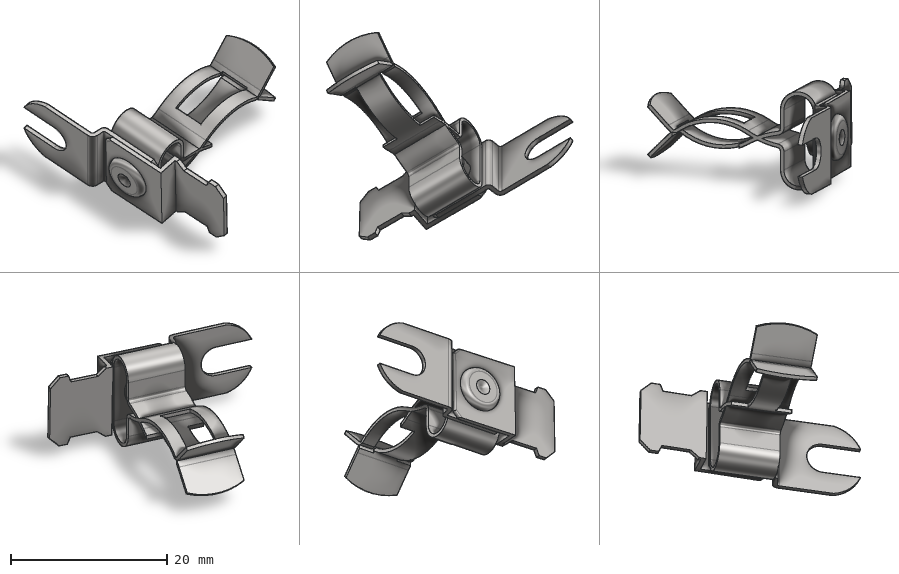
import cadquery as cq
import math


lug_thickness = 0.6
clip_thickness = 0.5
fork_front_y = -lug_thickness
tail_front_y = fork_front_y - lug_thickness
lug_half_height = 5.0

fork_tip_y = -2.52
fork_right_x = 4.0
fork_nose_radius = 5.1
fork_nose_x = -11.9
fork_slot_radius = 2.07
fork_slot_x = -11.5
fork_corner_chamfer = 0.75
jog_start_x = -5.78
jog_angle = 80.0
jog_lower_radius = 0.67
jog_upper_radius = 0.43

tail_tilt = 1.0
tail_left_x = -3.95
tail_corner_chamfer = 0.75
tail_edge_radius = 0.27
tail_web_x = 5.6
tail_back_y = 2.15
tail_shoulder_x = 5.9
tail_neck_start_x = 7.08
tail_neck_end_x = 10.85
tail_neck_half_height = 4.05
tail_head_start_x = 11.25
tail_head_chamfer_x = 12.43
tail_right_x = 13.77
tail_right_half_height = 3.68

clip_width = 8.03
clip_height = 12.8
clip_end_y = 23.6
loop_outer_radius = 2.45
loop_bend_radius = 0.73
neck_angle = 10.0
cross_angle = 30.0
flare_angle = 45.0
bow_radius = 9.0
bow_depth = 1.9
bow_y = 13.92
window_start_y = 10.55
window_end_y = 19.65
window_width = 4.2
tongue_width = 3.65
flare_end_radius = 9.73

shank_radius = 1.52
front_head_radius = 3.0
front_head_height = 0.82
centre_mark_radius = 1.03
centre_mark_depth = 0.5
back_head_radius = 2.52
back_head_height = 1.37
back_dome_height = 0.73


def on_circle(centre, radius, degrees):
    """Point of a circle at an angle measured from its first axis towards its second."""
    angle = math.radians(degrees)
    return (centre[0] + radius * math.cos(angle), centre[1] + radius * math.sin(angle))


def add_arc(path, centre, radius, start, end):
    """Continue a path along a circle, from one angle to another."""
    middle = on_circle(centre, radius, (start + end) / 2)
    return path.threePointArc(middle, on_circle(centre, radius, end))


def drill_shank(body):
    """Cut the rivet hole, which runs from inside the clip to the front of the tail lug."""
    hole_length = clip_thickness - tail_front_y
    hole = cq.Workplane("XZ", origin=(0, clip_thickness, 0)).circle(shank_radius).extrude(hole_length)
    return body.cut(hole)


def fork_strip():
    """Sheet bent into a jog, still with square ends."""
    lower_y = fork_tip_y + lug_thickness / 2
    upper_y = fork_front_y + lug_thickness / 2
    left_x = fork_nose_x - fork_nose_radius
    turn = math.radians(jog_angle)
    bends = jog_lower_radius + jog_upper_radius
    web_length = (upper_y - lower_y - bends * (1 - math.cos(turn))) / math.sin(turn)
    jog_end_x = jog_start_x + bends * math.sin(turn) + web_length * math.cos(turn)
    lower_centre = (jog_start_x, lower_y + jog_lower_radius)
    upper_centre = (jog_end_x, upper_y - jog_upper_radius)

    path = cq.Workplane("XY").moveTo(left_x, lower_y).lineTo(jog_start_x, lower_y)
    path = add_arc(path, lower_centre, jog_lower_radius, -90, jog_angle - 90)
    path = path.lineTo(*on_circle(upper_centre, jog_upper_radius, 90 + jog_angle))
    path = add_arc(path, upper_centre, jog_upper_radius, 90 + jog_angle, 90)
    path = path.lineTo(fork_right_x, upper_y)
    section = cq.Workplane("YZ", origin=(left_x, lower_y, 0)).rect(lug_thickness, 2 * lug_half_height)
    return section.sweep(path)


def fork_outline():
    """Prism with the rounded nose, the open slot and the two chamfered corners."""
    shoulder_x = fork_nose_x - math.sqrt(fork_nose_radius**2 - lug_half_height**2)
    nose_left = (fork_nose_x - fork_nose_radius, 0)
    corner_x = fork_right_x - fork_corner_chamfer
    corner_z = lug_half_height - fork_corner_chamfer
    slot_length = 2 * fork_nose_radius
    blank = (
        cq.Workplane("XZ")
        .moveTo(shoulder_x, lug_half_height)
        .threePointArc(nose_left, (shoulder_x, -lug_half_height))
        .lineTo(corner_x, -lug_half_height)
        .lineTo(fork_right_x, -corner_z)
        .lineTo(fork_right_x, corner_z)
        .lineTo(corner_x, lug_half_height)
        .close()
        .extrude(-fork_tip_y)
    )
    slot_round = cq.Workplane("XZ").center(fork_slot_x, 0).circle(fork_slot_radius).extrude(-fork_tip_y)
    slot_mouth = (
        cq.Workplane("XZ")
        .center(fork_slot_x - slot_length / 2, 0)
        .rect(slot_length, 2 * fork_slot_radius)
        .extrude(-fork_tip_y)
    )
    return blank.cut(slot_round).cut(slot_mouth)


def make_fork_lug():
    return drill_shank(fork_strip().intersect(fork_outline()))


def tail_strip():
    """Sheet folded twice at right angles."""
    web_left_x = tail_web_x - lug_thickness
    profile = [
        (tail_left_x, tail_front_y),
        (tail_web_x, tail_front_y),
        (tail_web_x, tail_back_y - lug_thickness),
        (tail_right_x, tail_back_y - lug_thickness),
        (tail_right_x, tail_back_y),
        (web_left_x, tail_back_y),
        (web_left_x, fork_front_y),
        (tail_left_x, fork_front_y),
    ]
    return cq.Workplane("XY").polyline(profile).close().extrude(lug_half_height, both=True)


def tail_outline():
    """Prism with the chamfered left end, the narrow neck and the arrow-like head."""
    upper_edge = [
        (tail_left_x, lug_half_height - tail_corner_chamfer),
        (tail_left_x + tail_corner_chamfer, lug_half_height),
        (tail_shoulder_x, lug_half_height),
        (tail_neck_start_x, tail_neck_half_height),
        (tail_neck_end_x, tail_neck_half_height),
        (tail_head_start_x, lug_half_height),
        (tail_head_chamfer_x, lug_half_height),
        (tail_right_x, tail_right_half_height),
    ]
    lower_edge = [(x, -z) for x, z in reversed(upper_edge)]
    face = cq.Workplane("XZ", origin=(0, tail_back_y, 0)).polyline(upper_edge + lower_edge).close()
    return face.extrude(tail_back_y - tail_front_y)


def make_tail_lug():
    lug = tail_strip().intersect(tail_outline())
    zone_right_x = tail_left_x + tail_corner_chamfer
    end_zone = cq.selectors.BoxSelector(
        (tail_left_x - lug_thickness, tail_front_y - lug_thickness, -lug_half_height),
        (zone_right_x, tail_back_y, lug_half_height),
    )
    lug = lug.edges("#Y").edges(end_zone).fillet(tail_edge_radius)
    return drill_shank(lug).rotate((0, 0, 0), (0, 1, 0), -tail_tilt)


def clip_arm():
    """Band from the clip back, round the upper loop and across to the lower bow and the upper flare."""
    half_thickness = clip_thickness / 2
    loop_radius = loop_outer_radius - half_thickness
    loop_centre = (loop_outer_radius, clip_height / 2 - loop_outer_radius)
    loop_far_y = loop_centre[0] + loop_radius
    bow_centre = (bow_y, bow_radius - bow_depth)

    bend_y = loop_far_y + loop_bend_radius
    cross_y, cross_z = on_circle(bow_centre, bow_radius, -90 - cross_angle)
    sin_neck = math.sin(math.radians(neck_angle))
    sin_cross = math.sin(math.radians(cross_angle))
    neck_radius = (cross_y - bend_y + loop_bend_radius * sin_neck) / (sin_cross - sin_neck)
    neck_centre = on_circle((cross_y, cross_z), neck_radius, -90 - cross_angle)
    neck_start = on_circle(neck_centre, neck_radius, 90 - neck_angle)
    bend_centre = on_circle(neck_start, loop_bend_radius, 90 - neck_angle)

    flare_y, flare_z = on_circle(bow_centre, bow_radius, flare_angle - 90)
    flare_turn = math.radians(flare_angle)
    path_end_y = clip_end_y - half_thickness * math.sin(flare_turn)
    path_end_z = flare_z + (path_end_y - flare_y) * math.tan(flare_turn)

    path = cq.Workplane("YZ").moveTo(half_thickness, 0).lineTo(half_thickness, loop_centre[1])
    path = add_arc(path, loop_centre, loop_radius, 180, 0)
    path = path.lineTo(loop_far_y, bend_centre[1])
    path = add_arc(path, bend_centre, loop_bend_radius, 180, 270 - neck_angle)
    path = add_arc(path, neck_centre, neck_radius, 90 - neck_angle, 90 - cross_angle)
    path = add_arc(path, bow_centre, bow_radius, -90 - cross_angle, flare_angle - 90)
    path = path.lineTo(path_end_y, path_end_z)
    section = cq.Workplane("XY", origin=(0, half_thickness, 0)).rect(clip_width, clip_thickness)
    arm = section.sweep(path)
    return arm.intersect(flare_end_trim(path_end_y, path_end_z))


def flare_end_trim(end_y, end_z):
    """Block with a round end that shapes the tip of the upper flare, square to the flare sheet."""
    flare_turn = math.radians(flare_angle)
    flare_normal = (0, -math.sin(flare_turn), math.cos(flare_turn))
    flare_plane = cq.Plane(origin=(0, end_y, end_z), xDir=(1, 0, 0), normal=flare_normal)
    reach = 2 * clip_end_y
    half_width = clip_width / 2
    side_drop = flare_end_radius - math.sqrt(flare_end_radius**2 - half_width**2)
    return (
        cq.Workplane(flare_plane)
        .moveTo(-half_width, -side_drop)
        .threePointArc((0, 0), (half_width, -side_drop))
        .lineTo(half_width, -reach)
        .lineTo(-half_width, -reach)
        .close()
        .extrude(reach, both=True)
    )


def make_clip():
    upper_arm = clip_arm()
    clip = upper_arm.union(upper_arm.mirror("XY"))

    window_length = window_end_y - window_start_y
    window_middle_y = (window_start_y + window_end_y) / 2
    window = cq.Workplane("XY").center(0, window_middle_y).rect(window_width, window_length)
    clip = clip.cut(window.extrude(clip_height))
    side_width = (clip_width - tongue_width) / 2
    side_x = (clip_width + tongue_width) / 4
    side_cuts = cq.Workplane("XY").pushPoints([(-side_x, window_middle_y), (side_x, window_middle_y)])
    clip = clip.cut(side_cuts.rect(side_width, window_length).extrude(-clip_height))
    return drill_shank(clip)


def make_rivet():
    """Turned profile: (radius, y) points revolved about the Y axis."""
    head_front_y = tail_front_y - front_head_height
    rim_y = clip_thickness + back_head_height
    dome_y = rim_y + back_dome_height
    dome_radius = (back_head_radius**2 + back_dome_height**2) / (2 * back_dome_height)
    dome_half_angle = math.degrees(math.asin(back_head_radius / dome_radius))
    dome_centre = (0, dome_y - dome_radius)
    round_centre = (front_head_radius - front_head_height, tail_front_y)

    profile = (
        cq.Workplane("XY")
        .moveTo(0, head_front_y + centre_mark_depth)
        .lineTo(centre_mark_radius, head_front_y)
        .lineTo(round_centre[0], head_front_y)
    )
    profile = add_arc(profile, round_centre, front_head_height, -90, 0)
    profile = (
        profile.lineTo(shank_radius, tail_front_y)
        .lineTo(shank_radius, clip_thickness)
        .lineTo(back_head_radius, clip_thickness)
        .lineTo(back_head_radius, rim_y)
    )
    profile = add_arc(profile, dome_centre, dome_radius, 90 - dome_half_angle, 90)
    return profile.close().revolve(360, (0, 0, 0), (0, 1, 0))


fork_lug = make_fork_lug()
tail_lug = make_tail_lug()
clip = make_clip()
rivet = make_rivet()

result = cq.Compound.makeCompound([fork_lug.val(), tail_lug.val(), clip.val(), rivet.val()])